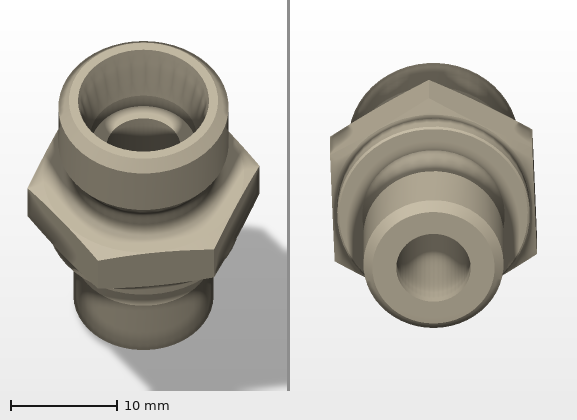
import cadquery as cq
import math

total_height = 30
collar_bottom = 12
hex_bottom = 14.0
hex_top = 19.0

stud_radius = 13.17 / 2
stud_chamfer = 0.85
stud_thread_top = 7.47
stud_neck_radius = 5.6
stud_neck_edge_radius = 5.73
stud_neck_bottom = 8.88
stud_neck_top = 10.05
stud_cone_top_radius = 6.7

collar_radius = 18.1 / 2
collar_chamfer = 0.18

hex_across_flats = 19.02
hex_chamfer_radius = 18.9 / 2
hex_chamfer_angle = 15

upper_radius = 16.0 / 2
upper_chamfer = 1.0
upper_thread_bottom = 23.55
upper_neck_radius = 13.7 / 2
upper_neck_fillet = 0.8
flare_radius = 1.0

relief_angle = 30

bore_radius = 7.0 / 2
tube_radius = 10.0 / 2
mouth_radius = 12.3 / 2
taper_half_angle = 12
socket_depth = 7.0


def upper_relief_fillet():
    """Neck end, middle and cone end of the arc that blends the upper neck into its cone."""
    angle = math.radians(relief_angle)
    corner = upper_thread_bottom - (upper_radius - upper_neck_radius) / math.tan(angle)
    neck_end = corner - upper_neck_fillet * math.tan(angle / 2)

    def on_arc(turn):
        radius = upper_neck_radius + upper_neck_fillet * (1 - math.cos(turn))
        return radius, neck_end + upper_neck_fillet * math.sin(turn)

    return on_arc(0), on_arc(angle / 2), on_arc(angle)


def make_turned_body():
    relief_start, relief_middle, relief_end = upper_relief_fillet()
    stud_neck_middle = (stud_neck_bottom + stud_neck_top) / 2
    flare_middle = flare_radius * (1 - math.sqrt(0.5))
    return (
        cq.Workplane("XZ")
        .lineTo(stud_radius - stud_chamfer, 0)
        .lineTo(stud_radius, stud_chamfer)
        .lineTo(stud_radius, stud_thread_top)
        .lineTo(stud_neck_edge_radius, stud_neck_bottom)
        .threePointArc(
            (stud_neck_radius, stud_neck_middle),
            (stud_neck_edge_radius, stud_neck_top),
        )
        .lineTo(stud_cone_top_radius, collar_bottom)
        .lineTo(collar_radius - collar_chamfer, collar_bottom)
        .lineTo(collar_radius, collar_bottom + collar_chamfer)
        .lineTo(collar_radius, hex_top)
        .lineTo(upper_neck_radius + flare_radius, hex_top)
        .threePointArc(
            (upper_neck_radius + flare_middle, hex_top + flare_middle),
            (upper_neck_radius, hex_top + flare_radius),
        )
        .lineTo(*relief_start)
        .threePointArc(relief_middle, relief_end)
        .lineTo(upper_radius, upper_thread_bottom)
        .lineTo(upper_radius, total_height - upper_chamfer)
        .lineTo(upper_radius - upper_chamfer, total_height)
        .lineTo(0, total_height)
        .close()
        .revolve(360, (0, 0), (0, 1))
    )


def make_hexagon():
    corner_radius = hex_across_flats / math.sqrt(3)
    corner_drop = (corner_radius - hex_chamfer_radius) * math.tan(math.radians(hex_chamfer_angle))
    prism = (
        cq.Workplane("XY", origin=(0, 0, hex_bottom))
        .polygon(6, 2 * corner_radius)
        .extrude(hex_top - hex_bottom)
        .rotate((0, 0, 0), (0, 0, 1), 30)
    )
    envelope = (
        cq.Workplane("XZ")
        .moveTo(0, hex_bottom)
        .lineTo(hex_chamfer_radius, hex_bottom)
        .lineTo(corner_radius, hex_bottom + corner_drop)
        .lineTo(corner_radius, hex_top - corner_drop)
        .lineTo(hex_chamfer_radius, hex_top)
        .lineTo(0, hex_top)
        .close()
        .revolve(360, (0, 0), (0, 1))
    )
    return prism.intersect(envelope)


def make_bore():
    taper_depth = (mouth_radius - tube_radius) / math.tan(math.radians(taper_half_angle))
    socket_floor = total_height - socket_depth
    return (
        cq.Workplane("XZ")
        .lineTo(bore_radius, 0)
        .lineTo(bore_radius, socket_floor)
        .lineTo(tube_radius, socket_floor)
        .lineTo(tube_radius, total_height - taper_depth)
        .lineTo(mouth_radius, total_height)
        .lineTo(0, total_height)
        .close()
        .revolve(360, (0, 0), (0, 1))
    )


result = make_turned_body().union(make_hexagon()).cut(make_bore())